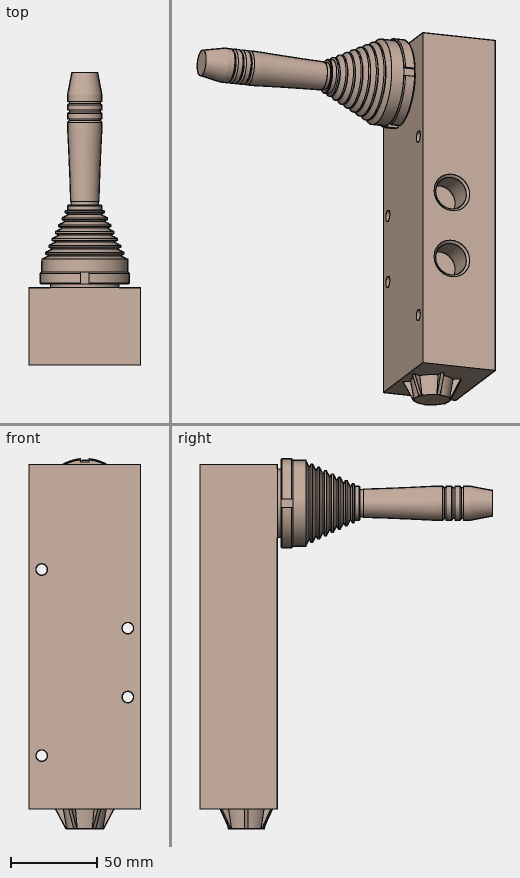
import cadquery as cq
WIDTH = 65.0
DEPTH = 45.0
END_CAP_HEIGHT = 15.0
VALVE_HEIGHT = 140.0
LEVER_HEAD_HEIGHT = 45.0
VALVE_TOP = END_CAP_HEIGHT + VALVE_HEIGHT
HOUSING_HEIGHT = VALVE_TOP + LEVER_HEAD_HEIGHT
VALVE_MIDDLE = END_CAP_HEIGHT + VALVE_HEIGHT / 2

MOUNT_HOLE_DIAMETER = 6.5
MOUNT_HOLE_X = 25.0
LEFT_HOLE_OFFSET = 54.0
RIGHT_HOLE_OFFSET = 20.0

PORT_DIAMETER = 19.0
PORT_MOUTH_DIAMETER = 22.0
PORT_DEPTH = 20.0
PORT_Y = 27.0
PORT_OFFSET = 20.0

KNOB_HEIGHT = 11.5
KNOB_TOP_RADIUS = 17.0
KNOB_BOTTOM_RADIUS = 11.0
KNOB_CORE_TOP_RADIUS = 12.5
KNOB_CORE_BOTTOM_RADIUS = 10.5
KNOB_RIB_THICKNESS = 2.0
KNOB_RIB_COUNT = 6

LEVER_AXIS_Z = HOUSING_HEIGHT - LEVER_HEAD_HEIGHT / 2
COLLAR_RADIUS = 20.0
NUT_START = 2.0
NUT_END = 9.0
NUT_RADIUS = 26.0
NUT_CHAMFER = 0.7
NUT_SLOT_WIDTH = 5.0
NUT_SLOT_FLOOR_RADIUS = 24.0
NUT_SLOT_COUNT = 4
FLANGE_END = 16.5
FLANGE_RADIUS = 25.0

FIN_COUNT = 7
FIN_PITCH = 4.0
FIN_THICKNESS = 1.0
FIN_UNDERSIDE_LENGTH = 1.0
FIN_FLARE_LENGTH = FIN_PITCH - FIN_THICKNESS - FIN_UNDERSIDE_LENGTH
FIN_DEPTH = 2.0
LARGEST_FIN_RADIUS = 22.8
FIN_RADIUS_STEP = 1.9
BOOT_CYLINDER_START = 45.0
BOOT_END = 48.0
BOOT_END_RADIUS = 10.0
BOOT_END_CHAMFER = 0.5
NECK_RADIUS = 8.0

HANDLE_START = 50.0
HANDLE_START_RADIUS = 8.25
HANDLE_MIDDLE_RADIUS = 9.0
GRIP_START = 92.0
GRIP_END = 112.0
GRIP_RADIUS = 10.0
HANDLE_END = 125.0
HANDLE_END_RADIUS = 7.5
GROOVE_RADIUS = 9.0
GROOVE_WIDTH = 2.0
GROOVE_FLOOR_WIDTH = 1.0
GROOVE_PITCH = 5.0
GROOVE_COUNT = 3
FIRST_GROOVE_START = GRIP_START + 4.0


def section(bottom, height):
    """One block of the housing bar."""
    return (
        cq.Workplane("XY", origin=(0, 0, bottom))
        .center(0, DEPTH / 2)
        .rect(WIDTH, DEPTH)
        .extrude(height)
    )


def cone(top_radius, bottom_radius):
    """A cone hanging under the end cap on the knob's axis."""
    return cq.Workplane(
        cq.Solid.makeCone(bottom_radius, top_radius, KNOB_HEIGHT, pnt=cq.Vector(0, PORT_Y, -KNOB_HEIGHT))
    )


def make_knob():
    """A tapered core with flat ribs that reach out to a steeper cone."""
    ribs = cone(KNOB_CORE_TOP_RADIUS, KNOB_CORE_BOTTOM_RADIUS)
    for index in range(KNOB_RIB_COUNT // 2):
        rib_pair = (
            cq.Workplane("XY", origin=(0, PORT_Y, -KNOB_HEIGHT))
            .transformed(rotate=(0, 0, index * 360 / KNOB_RIB_COUNT))
            .rect(2 * KNOB_TOP_RADIUS, KNOB_RIB_THICKNESS)
            .extrude(KNOB_HEIGHT)
        )
        ribs = ribs.union(rib_pair)
    return ribs.intersect(cone(KNOB_TOP_RADIUS, KNOB_BOTTOM_RADIUS))


def make_mount_hole(x, z):
    return (
        cq.Workplane("XZ", origin=(x, 0, z))
        .circle(MOUNT_HOLE_DIAMETER / 2)
        .extrude(-DEPTH)
    )


def make_port(z):
    """A blind round hole with a 45 degree countersunk mouth."""
    mouth_depth = (PORT_MOUTH_DIAMETER - PORT_DIAMETER) / 2
    profile = [
        (0, 0),
        (PORT_MOUTH_DIAMETER / 2, 0),
        (PORT_DIAMETER / 2, mouth_depth),
        (PORT_DIAMETER / 2, PORT_DEPTH),
        (0, PORT_DEPTH),
    ]
    face_plane = cq.Plane(origin=(-WIDTH / 2, PORT_Y, z), xDir=(0, 1, 0), normal=(0, 0, -1))
    return cq.Workplane(face_plane).polyline(profile).close().revolve(360, (0, 0), (0, 1))


def make_housing():
    housing = section(0, END_CAP_HEIGHT)
    housing = housing.union(section(END_CAP_HEIGHT, VALVE_HEIGHT), clean=False)
    housing = housing.union(section(VALVE_TOP, LEVER_HEAD_HEIGHT), clean=False)
    housing = housing.union(make_knob(), clean=False)
    for side in (-1, 1):
        left_hole = make_mount_hole(-MOUNT_HOLE_X, VALVE_MIDDLE + side * LEFT_HOLE_OFFSET)
        right_hole = make_mount_hole(MOUNT_HOLE_X, VALVE_MIDDLE + side * RIGHT_HOLE_OFFSET)
        port = make_port(VALVE_MIDDLE + side * PORT_OFFSET)
        for hole in (left_hole, right_hole, port):
            housing = housing.cut(hole, clean=False)
    return housing


def boot_points():
    """Outline of the bellows boot: each fin has an undercut side, a narrow rim and a flared side."""
    points = []
    for index in range(FIN_COUNT):
        radius = LARGEST_FIN_RADIUS - index * FIN_RADIUS_STEP
        valley = FLANGE_END + FIN_FLARE_LENGTH + index * FIN_PITCH
        rim_start = valley + FIN_UNDERSIDE_LENGTH
        points += [
            (radius - FIN_DEPTH, valley),
            (radius, rim_start),
            (radius, rim_start + FIN_THICKNESS),
        ]
    return points


def groove_points():
    """Outline of the grooves around the grip: sloped on the housing side, square on the other."""
    points = []
    for index in range(GROOVE_COUNT):
        start = FIRST_GROOVE_START + index * GROOVE_PITCH
        end = start + GROOVE_WIDTH
        points += [
            (GRIP_RADIUS, start),
            (GROOVE_RADIUS, end - GROOVE_FLOOR_WIDTH),
            (GROOVE_RADIUS, end),
            (GRIP_RADIUS, end),
        ]
    return points


def make_nut_slot(angle):
    """Cutter for a flat-bottomed spanner slot across the rim of the nut."""
    return (
        cq.Workplane("XZ", origin=(0, DEPTH + NUT_START, LEVER_AXIS_Z))
        .transformed(rotate=(0, 0, angle))
        .center(0, NUT_SLOT_FLOOR_RADIUS + NUT_SLOT_WIDTH / 2)
        .rect(NUT_SLOT_WIDTH, NUT_SLOT_WIDTH)
        .extrude(NUT_START - NUT_END)
    )


def make_lever():
    base_points = [
        (COLLAR_RADIUS, 0),
        (COLLAR_RADIUS, NUT_START),
        (NUT_RADIUS - NUT_CHAMFER, NUT_START),
        (NUT_RADIUS, NUT_START + NUT_CHAMFER),
        (NUT_RADIUS, NUT_END - NUT_CHAMFER),
        (NUT_RADIUS - NUT_CHAMFER, NUT_END),
        (FLANGE_RADIUS, NUT_END),
        (FLANGE_RADIUS, FLANGE_END),
    ]
    neck_points = [
        (BOOT_END_RADIUS, BOOT_CYLINDER_START),
        (BOOT_END_RADIUS, BOOT_END - BOOT_END_CHAMFER),
        (BOOT_END_RADIUS - BOOT_END_CHAMFER, BOOT_END),
        (NECK_RADIUS, BOOT_END),
        (NECK_RADIUS, HANDLE_START),
        (HANDLE_START_RADIUS, HANDLE_START),
    ]
    axis_plane = cq.Plane(origin=(0, DEPTH, LEVER_AXIS_Z), xDir=(1, 0, 0), normal=(0, 0, 1))
    lever = (
        cq.Workplane(axis_plane)
        .polyline([(0, 0)] + base_points + boot_points() + neck_points)
        .threePointArc((HANDLE_MIDDLE_RADIUS, (HANDLE_START + GRIP_START) / 2), (GRIP_RADIUS, GRIP_START))
        .polyline(groove_points() + [(GRIP_RADIUS, GRIP_END)], includeCurrent=True)
        .lineTo(HANDLE_END_RADIUS, HANDLE_END)
        .lineTo(0, HANDLE_END)
        .close()
        .revolve(360, (0, 0), (0, 1))
    )
    for index in range(NUT_SLOT_COUNT):
        lever = lever.cut(make_nut_slot(index * 360 / NUT_SLOT_COUNT))
    return lever


housing = make_housing()
lever = make_lever()

result = cq.Compound.makeCompound([housing.val(), lever.val()])